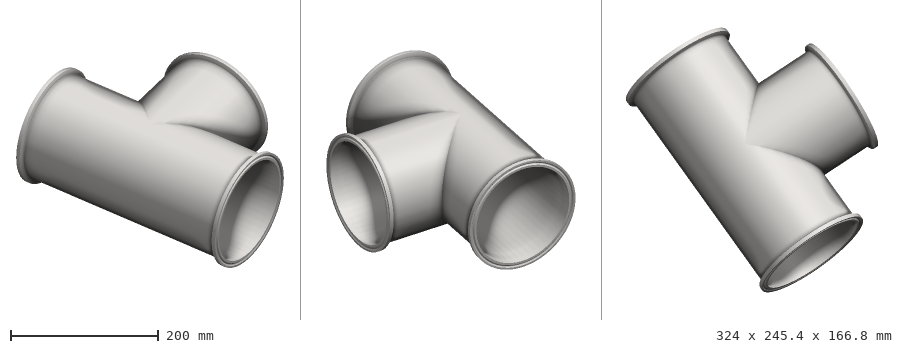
import cadquery as cq
import math


run_length = 324.0
tube_diameter = 152.5
bore_diameter = 146.7
ferrule_length = 18.8

flange_diameter = 166.8
flange_rim_width = 5.5
flange_taper_angle = 20.0
flange_root_fillet = 1.5

groove_diameter = 157.0
groove_width = 4.0
groove_bottom_width = 2.0
groove_side_depth = 1.0
groove_depth = 1.5

end_distance = run_length / 2
tube_radius = tube_diameter / 2
bore_radius = bore_diameter / 2
flange_radius = flange_diameter / 2
groove_radius = groove_diameter / 2
shoulder_distance = end_distance - ferrule_length
taper_length = (flange_radius - tube_radius) * math.tan(math.radians(flange_taper_angle))
flange_width = flange_rim_width + taper_length

RUN_ENDS = (0, 180)
BRANCH_END = 90
ALL_ENDS = (*RUN_ENDS, BRANCH_END)


def turn_to(body, angle):
    """Turn a body that points along +X to the given angle about Z."""
    return body.rotate((0, 0, 0), (0, 0, 1), angle)


def cylinder_along_x(radius, length):
    """Solid cylinder from the origin along +X."""
    return cq.Workplane("YZ").circle(radius).extrude(length)


def revolve_about_x(profile):
    """Revolve a closed XY profile once around the X axis."""
    return profile.revolve(360, (0, 0, 0), (1, 0, 0))


def make_tube_body():
    """Outside of the run and branch tubes, up to where the ferrules begin."""
    body = turn_to(cylinder_along_x(tube_radius, shoulder_distance), RUN_ENDS[0])
    for angle in (RUN_ENDS[1], BRANCH_END):
        body = body.union(turn_to(cylinder_along_x(tube_radius, shoulder_distance), angle))
    return body


def make_groove():
    """Ring that cuts the gasket groove into the +X end face."""
    side_x = end_distance - groove_side_depth
    profile = (
        cq.Workplane("XY")
        .moveTo(end_distance, groove_radius - groove_width / 2)
        .lineTo(side_x, groove_radius - groove_bottom_width / 2)
        .threePointArc(
            (end_distance - groove_depth, groove_radius),
            (side_x, groove_radius + groove_bottom_width / 2),
        )
        .lineTo(end_distance, groove_radius + groove_width / 2)
        .close()
    )
    return revolve_about_x(profile)


def make_ferrule():
    """Ferrule at the +X end: neck, tapered flange with a filleted root, and gasket groove."""
    root_x = end_distance - flange_width
    profile = (
        cq.Workplane("XY")
        .moveTo(shoulder_distance, 0)
        .lineTo(shoulder_distance, tube_radius)
        .lineTo(root_x, tube_radius)
        .lineTo(end_distance - flange_rim_width, flange_radius)
        .lineTo(end_distance, flange_radius)
        .lineTo(end_distance, 0)
        .close()
    )
    root_edge = cq.selectors.NearestToPointSelector((root_x, 0, 0))
    ferrule = revolve_about_x(profile).edges("%CIRCLE").edges(root_edge).fillet(flange_root_fillet)
    return ferrule.cut(make_groove())


tee = make_tube_body()
ferrule = make_ferrule()
for end_angle in ALL_ENDS:
    tee = tee.union(turn_to(ferrule, end_angle))

bore = cylinder_along_x(bore_radius, end_distance)
for end_angle in ALL_ENDS:
    tee = tee.cut(turn_to(bore, end_angle))

result = tee